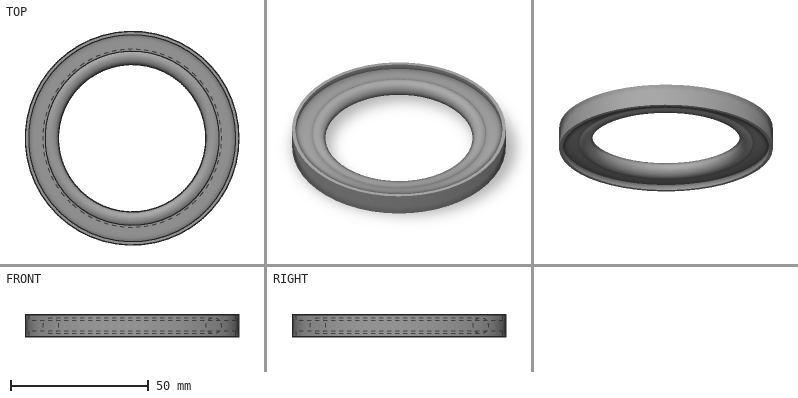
import cadquery as cq

outer_radius = 38.75
height = 8.0
rim_width = 1.25
recess_depth = 2.0
bore_radius = 31.55
web_half_thickness = height / 2 - recess_depth

seal_inner_radius = 26.65
radial_reach = bore_radius - seal_inner_radius
cord_radius = (radial_reach**2 + web_half_thickness**2) / (2 * radial_reach)
seal_path_radius = seal_inner_radius + cord_radius
groove_depth = seal_path_radius + cord_radius - bore_radius


def make_carrier():
    """Rimmed ring with a concave groove around its bore."""
    rim_inner_radius = outer_radius - rim_width
    profile = (
        cq.Workplane("XZ")
        .moveTo(bore_radius, -web_half_thickness)
        .lineTo(rim_inner_radius, -web_half_thickness)
        .lineTo(rim_inner_radius, -height / 2)
        .lineTo(outer_radius, -height / 2)
        .lineTo(outer_radius, height / 2)
        .lineTo(rim_inner_radius, height / 2)
        .lineTo(rim_inner_radius, web_half_thickness)
        .lineTo(bore_radius, web_half_thickness)
        .threePointArc((bore_radius + groove_depth, 0), (bore_radius, -web_half_thickness))
        .close()
    )
    return profile.revolve(360, (0, 0, 0), (0, 1, 0))


def make_seal():
    """Round-section ring centred at mid height of the carrier."""
    return cq.Workplane("XY").add(cq.Solid.makeTorus(seal_path_radius, cord_radius))


carrier = make_carrier()
seal = make_seal()

result = cq.Compound.makeCompound([carrier.val(), seal.val()])